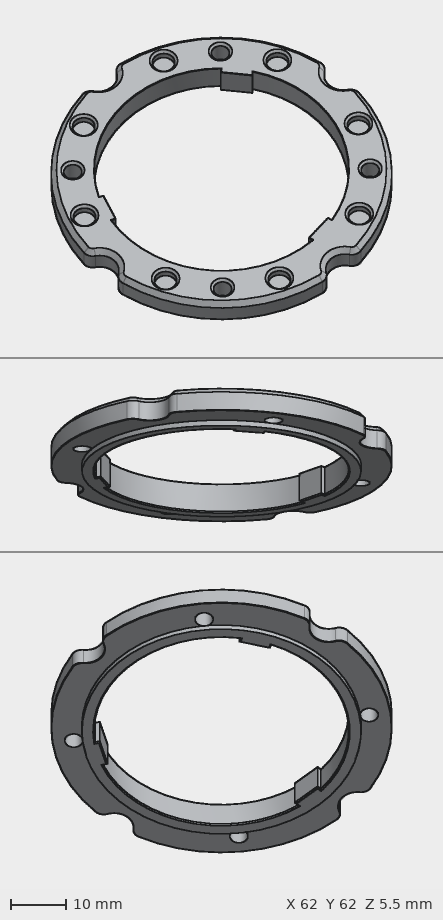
import cadquery as cq
import math

OUTER_DIAMETER = 62.0
BORE_DIAMETER = 46.2
TOTAL_HEIGHT = 5.5
SPIGOT_DIAMETER = 50.9
SPIGOT_TAPER = 5.0
SPIGOT_HEIGHT = 1.0
RIM_CHAMFER = 1.0
EDGE_BREAK = 0.1
BOTTOM_LEAD_IN = 0.25

SCALLOP_RADIUS = 3.5
SCALLOP_CENTER_RADIUS = 31.5
SCALLOP_CORNER_RADIUS = 2.0

PITCH_RADIUS = 27.0
THROUGH_HOLE_DIAMETER = 3.3
POCKET_DIAMETER = 4.1
POCKET_DEPTH = 1.75
HOLE_CHAMFER = 0.5
HOLE_CHAMFER_ANGLE = 45.0

KEY_COUNT = 3
KEY_SPACING = 360.0 / KEY_COUNT
KEY_WIDTH = 5.8
KEY_FACE_RADIUS = 22.05
KEY_DEPTH = BORE_DIAMETER / 2 - KEY_FACE_RADIUS

QUARTER_COUNT = 4
QUARTER_ANGLE = 360.0 / QUARTER_COUNT
THROUGH_HOLE_ANGLE = 37.5
POCKET_OFFSET_ANGLE = QUARTER_ANGLE / 4
SCALLOP_ANGLE = THROUGH_HOLE_ANGLE + QUARTER_ANGLE / 2

FLANGE_HEIGHT = TOTAL_HEIGHT - SPIGOT_HEIGHT


def polar_points(radius, first_angle):
    """Points on a circle, one per quarter turn."""
    angles = [math.radians(first_angle + i * QUARTER_ANGLE) for i in range(QUARTER_COUNT)]
    return [(radius * math.cos(a), radius * math.sin(a)) for a in angles]


def make_flange():
    """Scalloped disc with rounded scallop corners, a chamfered top rim and a broken lower edge."""
    outline = cq.Workplane("XY").workplane(offset=SPIGOT_HEIGHT).circle(OUTER_DIAMETER / 2)
    disc = outline.extrude(FLANGE_HEIGHT)
    scallops = (
        cq.Workplane("XY")
        .pushPoints(polar_points(SCALLOP_CENTER_RADIUS, SCALLOP_ANGLE))
        .circle(SCALLOP_RADIUS)
        .extrude(TOTAL_HEIGHT)
    )
    flange = disc.cut(scallops).edges("|Z").fillet(SCALLOP_CORNER_RADIUS)
    flange = flange.faces(">Z").edges().chamfer(RIM_CHAMFER)
    return flange.faces("<Z").edges().chamfer(EDGE_BREAK)


def make_opening():
    """Bore with flat-faced keys left standing."""
    opening = cq.Workplane("XY").circle(BORE_DIAMETER / 2).extrude(TOTAL_HEIGHT)
    key = (
        cq.Workplane("XY")
        .box(KEY_DEPTH, KEY_WIDTH, TOTAL_HEIGHT, centered=(False, True, False))
        .translate((KEY_FACE_RADIUS, 0, 0))
    )
    for i in range(KEY_COUNT):
        opening = opening.cut(key.rotate((0, 0, 0), (0, 0, 1), i * KEY_SPACING))
    return opening


def cut_from_top(body, first_angle, diameter, depth, taper=0):
    """Round cuts sunk from the top face on the pitch circle, one per quarter turn."""
    return (
        body.faces(">Z")
        .workplane(origin=(0, 0, TOTAL_HEIGHT))
        .pushPoints(polar_points(PITCH_RADIUS, first_angle))
        .circle(diameter / 2)
        .cutBlind(-depth, taper=taper)
    )


def cut_chamfered_holes(body, first_angle, diameter, depth):
    """Holes sunk from the top face, each with a chamfered mouth."""
    body = cut_from_top(body, first_angle, diameter, depth)
    return cut_from_top(body, first_angle, diameter + 2 * HOLE_CHAMFER, HOLE_CHAMFER, HOLE_CHAMFER_ANGLE)


def make_spigot():
    """Slightly tapered collar below the flange, widest where it meets the flange."""
    top_circle = cq.Workplane("XY").workplane(offset=SPIGOT_HEIGHT).circle(SPIGOT_DIAMETER / 2)
    return top_circle.extrude(-SPIGOT_HEIGHT, taper=SPIGOT_TAPER)


def chamfer_opening(body, end_face, size):
    """Chamfer along the bore and key edges of one end face."""
    reach = BORE_DIAMETER / 2 + EDGE_BREAK
    opening_box = cq.selectors.BoxSelector(
        (-reach, -reach, -EDGE_BREAK), (reach, reach, TOTAL_HEIGHT + EDGE_BREAK), boundingbox=True
    )
    return body.faces(end_face).edges(opening_box).chamfer(size)


flange = cut_chamfered_holes(make_flange(), THROUGH_HOLE_ANGLE, THROUGH_HOLE_DIAMETER, TOTAL_HEIGHT)
for side in (-1, 1):
    pocket_angle = THROUGH_HOLE_ANGLE + side * POCKET_OFFSET_ANGLE
    flange = cut_chamfered_holes(flange, pocket_angle, POCKET_DIAMETER, POCKET_DEPTH)

ring = flange.union(make_spigot()).cut(make_opening())
ring = chamfer_opening(ring, ">Z", EDGE_BREAK)
result = chamfer_opening(ring, "<Z", BOTTOM_LEAD_IN)